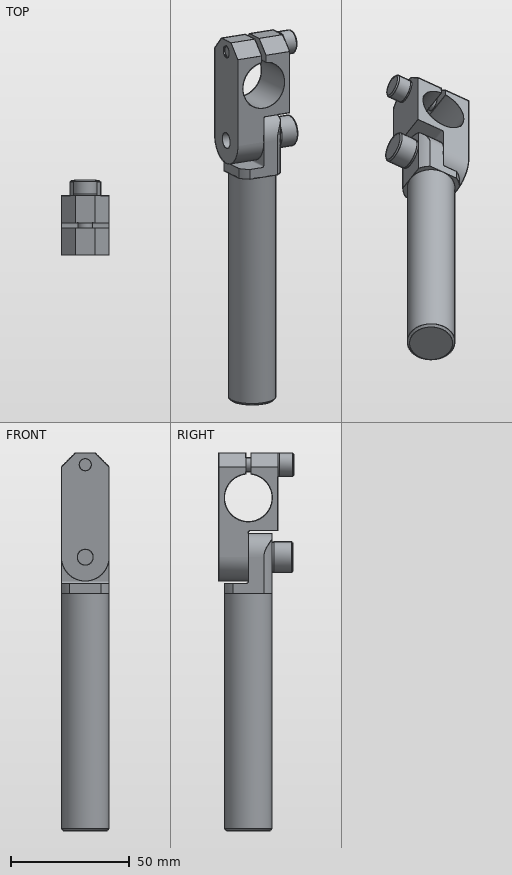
import cadquery as cq
import math

width = 20.0
half_width = width / 2
total_height = 159.0

rod_chamfer = 1.0
pivot_z = 115.1
shoulder_z = 99.9
seat_z = 104.1
clevis_flat_width = 13.0
clevis_round_diameter = math.hypot(width, clevis_flat_width)
step_fillet = 0.8

clamp_depth = 25.0
clamp_front_y = -clamp_depth / 2
clamp_back_y = clamp_depth / 2
clamp_step_z = 126.2
clamp_chamfer = 5.9
bore_z = 140.0
bore_diameter = width
slot_width = 2.0

clamp_head_diameter = 10.0
clamp_screw_z = total_height - clamp_head_diameter / 2
clamp_shank_diameter = 6.0
clamp_clearance_diameter = 6.4
clamp_mouth_diameter = 5.1
clamp_tip_recess = 0.8
clamp_head_length = 6.0
clamp_washer_thickness = 0.6

pivot_head_diameter = 13.0
pivot_shank_diameter = 8.0
pivot_clearance_diameter = 8.5
pivot_mouth_diameter = 6.7
pivot_tip_recess = 4.3
pivot_head_length = 8.0
pivot_washer_diameter = 12.7
pivot_washer_thickness = 0.8

head_chamfer = 0.6


def cylinder_y(diameter, start_y, end_y, axis_z):
    """Cylinder along Y between two Y positions."""
    base = cq.Workplane("XZ", origin=(0, start_y, axis_z))
    return base.circle(diameter / 2).extrude(start_y - end_y)


def block(start_y, end_y, bottom_z, top_z):
    """Full-width block centred on X."""
    size = (width, end_y - start_y, top_z - bottom_z)
    return cq.Workplane("XY", origin=(0, start_y, bottom_z)).box(*size, centered=(True, False, False))


def make_clevis_rod():
    """Round rod carrying a half-lap lug with a rounded top."""
    rod = cq.Workplane("XY").circle(half_width).extrude(shoulder_z)
    rod = rod.faces("<Z").chamfer(rod_chamfer)
    outline = (
        cq.Workplane("XZ", origin=(0, half_width, 0))
        .moveTo(-half_width, shoulder_z)
        .lineTo(half_width, shoulder_z)
        .lineTo(half_width, pivot_z)
        .threePointArc((0, pivot_z + half_width), (-half_width, pivot_z))
        .close()
    )
    clevis = outline.extrude(width)
    turned_stock = (
        cq.Workplane("XY", origin=(0, 0, shoulder_z))
        .circle(clevis_round_diameter / 2)
        .extrude(total_height - shoulder_z)
    )
    step_cut = block(-width, 0, seat_z, total_height).edges("|X and >Y and <Z").fillet(step_fillet)
    clevis = clevis.intersect(turned_stock).cut(step_cut)
    pivot_hole = cylinder_y(pivot_clearance_diameter, 0, half_width, pivot_z)
    return rod.union(clevis).cut(pivot_hole)


def make_clamp():
    """Split clamp with a half-lap tongue that meets the clevis lug."""
    outline = (
        cq.Workplane("XZ", origin=(0, clamp_back_y, 0))
        .moveTo(half_width, pivot_z)
        .lineTo(half_width, total_height - clamp_chamfer)
        .lineTo(half_width - clamp_chamfer, total_height)
        .lineTo(clamp_chamfer - half_width, total_height)
        .lineTo(-half_width, total_height - clamp_chamfer)
        .lineTo(-half_width, pivot_z)
        .threePointArc((0, pivot_z - half_width), (half_width, pivot_z))
        .close()
    )
    step_cut = block(0, width, seat_z, clamp_step_z).edges("|X and <Y and >Z").fillet(step_fillet)
    bore = cq.Workplane("YZ").center(0, bore_z).circle(bore_diameter / 2).extrude(half_width, both=True)
    slot = block(-slot_width / 2, slot_width / 2, bore_z, total_height)
    clamp = outline.extrude(clamp_depth).cut(step_cut).cut(bore).cut(slot)

    screw_holes = [
        cylinder_y(clamp_clearance_diameter, 0, clamp_back_y, clamp_screw_z),
        cylinder_y(clamp_shank_diameter, clamp_front_y + clamp_tip_recess, 0, clamp_screw_z),
        cylinder_y(clamp_mouth_diameter, clamp_front_y, 0, clamp_screw_z),
        cylinder_y(pivot_shank_diameter, clamp_front_y + pivot_tip_recess, 0, pivot_z),
        cylinder_y(pivot_mouth_diameter, clamp_front_y, 0, pivot_z),
    ]
    for hole in screw_holes:
        clamp = clamp.cut(hole)
    return clamp


def make_screw(head_diameter, shank_diameter, tip_y, seat_y, head_length, axis_z):
    """Cap screw with a plain chamfered head."""
    head = cylinder_y(head_diameter, seat_y, seat_y + head_length, axis_z).faces(">Y").chamfer(head_chamfer)
    shank = cylinder_y(shank_diameter, tip_y, seat_y, axis_z)
    return head.union(shank)


def make_washer(outer_diameter, bore_size, seat_y, thickness, axis_z):
    """Flat ring resting on the face at seat_y."""
    ring = cylinder_y(outer_diameter, seat_y, seat_y + thickness, axis_z)
    return ring.cut(cylinder_y(bore_size, seat_y, seat_y + thickness, axis_z))


clevis_rod = make_clevis_rod()
clamp = make_clamp()
clamp_washer = make_washer(
    clamp_head_diameter, clamp_clearance_diameter, clamp_back_y, clamp_washer_thickness, clamp_screw_z
)
clamp_screw = make_screw(
    clamp_head_diameter, clamp_shank_diameter, clamp_front_y + clamp_tip_recess,
    clamp_back_y + clamp_washer_thickness, clamp_head_length, clamp_screw_z
)
pivot_washer = make_washer(
    pivot_washer_diameter, pivot_clearance_diameter, half_width, pivot_washer_thickness, pivot_z
)
pivot_screw = make_screw(
    pivot_head_diameter, pivot_shank_diameter, clamp_front_y + pivot_tip_recess,
    half_width + pivot_washer_thickness, pivot_head_length, pivot_z
)

result = cq.Compound.makeCompound([
    clevis_rod.val(),
    clamp.val(),
    clamp_screw.val(),
    clamp_washer.val(),
    pivot_screw.val(),
    pivot_washer.val(),
])